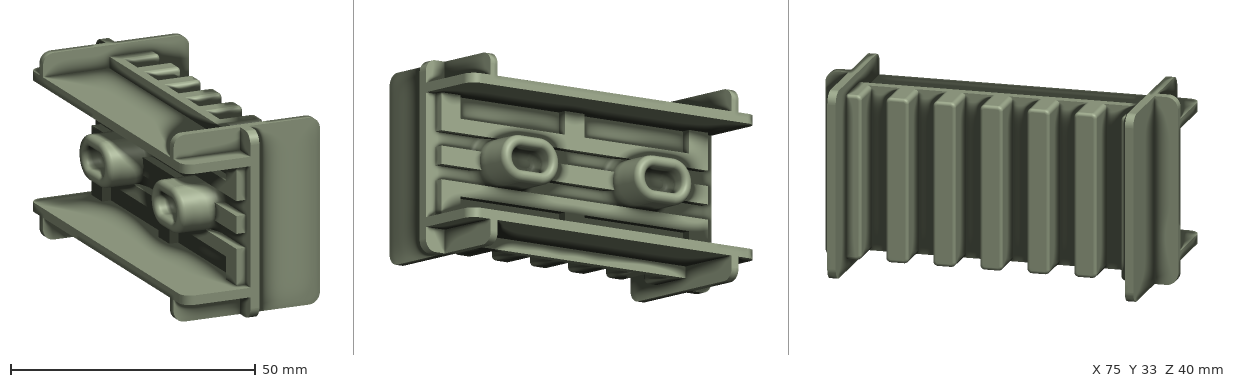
import cadquery as cq

LENGTH = 75.0
DEPTH = 33.0
HEIGHT = 40.0
WALL = 2.0
CORNER = 2.5
INSET = 4.95

PLATE_FRONT = 15.0
PLATE_BACK = PLATE_FRONT + WALL
PLATE_HALF = HEIGHT / 2 - CORNER

END_THICKNESS = 1.8
END_OUTER = LENGTH / 2 - INSET
END_INNER = END_OUTER - END_THICKNESS

SHELF_OUTER = HEIGHT / 2 - INSET
SHELF_INNER = SHELF_OUTER - WALL

RIB_LENGTH = LENGTH - 2 * CORNER
MIDDLE_RIB_HEIGHT = 3.8
COMB_EDGE = 5.1
COMB_BAR = 3.0
COMB_END_LEG = 5.0
COMB_MIDDLE_LEG = 5.2

BOSS_X = 17.5
BOSS_FRONT = 5.0
BOSS_FLAT = 5.0
BOSS_RADIUS = 4.95
BOSS_DRAFT = 0.5
BOSS_FOOT_FILLET = 1.65
RIM_OUTER_FILLET = 1.3
RIM_INNER_FILLET = 1.1
BORE_RADIUS = 2.4
BORE_DEPTH = 5.0
BORE_FLOOR_FILLET = 1.6
SELECT_MARGIN = 0.1

FINGER_COUNT = 7
FINGER_SPAN = 60.0
FINGER_PITCH = FINGER_SPAN / (FINGER_COUNT - 1)
FINGER_WIDTH = 4.8
FINGER_LENGTH = 8.0
FINGER_SIDE_FILLET = 1.0
FINGER_TIP_FILLET = 0.7


def block(x0, x1, y0, y1, z0, z1):
    """Box given by its limits along each axis."""
    return cq.Workplane("XY").box(x1 - x0, y1 - y0, z1 - z0, centered=False).translate((x0, y0, z0))


def back_plate():
    """Rounded plate, lower between the end plates than at its ears."""
    plate = block(-LENGTH / 2, LENGTH / 2, PLATE_FRONT, PLATE_BACK, -HEIGHT / 2, HEIGHT / 2)
    plate = plate.edges("|Y").fillet(CORNER)
    for z0, z1 in ((PLATE_HALF, HEIGHT / 2), (-HEIGHT / 2, -PLATE_HALF)):
        plate = plate.cut(block(-END_INNER, END_INNER, PLATE_FRONT, PLATE_BACK, z0, z1))
    return plate


def end_plates():
    """Upright plates, open between the shelves in front of the back plate."""
    profile = block(END_INNER, END_OUTER, 0, DEPTH, -HEIGHT / 2, HEIGHT / 2).edges("|X").fillet(CORNER)
    plate = profile.cut(block(END_INNER, END_OUTER, 0, PLATE_FRONT, -SHELF_INNER, SHELF_INNER))
    return plate.union(plate.mirror("YZ"))


def shelves():
    """Upper and lower shelf with rounded front corners."""
    shelf = block(-LENGTH / 2, LENGTH / 2, 0, PLATE_BACK, SHELF_INNER, SHELF_OUTER)
    shelf = shelf.edges("|Z and <Y").fillet(CORNER)
    return shelf.union(shelf.mirror("XY"))


def front_ribs():
    """Straight middle rib and a three-legged comb rib reaching to each shelf."""
    y0 = PLATE_FRONT - WALL
    half = RIB_LENGTH / 2
    comb = block(-half, half, y0, PLATE_FRONT, COMB_EDGE, COMB_EDGE + COMB_BAR)
    legs = (
        (-half, -half + COMB_END_LEG),
        (-COMB_MIDDLE_LEG / 2, COMB_MIDDLE_LEG / 2),
        (half - COMB_END_LEG, half),
    )
    for x0, x1 in legs:
        comb = comb.union(block(x0, x1, y0, PLATE_FRONT, COMB_EDGE, SHELF_INNER))
    middle = block(-half, half, y0, PLATE_FRONT, -MIDDLE_RIB_HEIGHT / 2, MIDDLE_RIB_HEIGHT / 2)
    return middle.union(comb).union(comb.mirror("XY"))


def oval(y, radius):
    """Sketch of the boss oval; extruding it runs towards -Y."""
    return cq.Workplane("XZ", origin=(0, y, 0)).slot2D(BOSS_FLAT + 2 * radius, 2 * radius)


def oval_edges(y, radius):
    """Selector for the edges of one oval lying in the plane y."""
    half_x = BOSS_FLAT / 2 + radius + SELECT_MARGIN
    half_z = radius + SELECT_MARGIN
    return cq.selectors.BoxSelector(
        (-half_x, y - SELECT_MARGIN, -half_z),
        (half_x, y + SELECT_MARGIN, half_z),
        boundingbox=True,
    )


def boss():
    """Drafted oval boss on a flared foot; the foot pad is buried in the back plate."""
    foot = oval(PLATE_BACK, BOSS_RADIUS + 2 * BOSS_FOOT_FILLET).extrude(WALL)
    body = foot.union(oval(PLATE_FRONT, BOSS_RADIUS).extrude(PLATE_FRONT - BOSS_FRONT, taper=BOSS_DRAFT))
    body = body.edges(oval_edges(PLATE_FRONT, BOSS_RADIUS)).fillet(BOSS_FOOT_FILLET)
    return body.faces("<Y").edges().fillet(RIM_OUTER_FILLET)


def bore():
    """Blind oval hollow with a rounded floor and a flared mouth."""
    hollow = oval(BOSS_FRONT + BORE_DEPTH, BORE_RADIUS).extrude(BORE_DEPTH)
    hollow = hollow.faces(">Y").edges().fillet(BORE_FLOOR_FILLET)
    mouth = oval(BOSS_FRONT, BORE_RADIUS + 2 * RIM_INNER_FILLET).extrude(WALL)
    hollow = hollow.union(mouth)
    return hollow.edges(oval_edges(BOSS_FRONT, BORE_RADIUS)).fillet(RIM_INNER_FILLET)


def fingers():
    """Row of full-height rounded fingers; the outermost two merge into the end plates."""
    finger = block(
        -FINGER_WIDTH / 2, FINGER_WIDTH / 2,
        PLATE_FRONT, PLATE_BACK + FINGER_LENGTH,
        -PLATE_HALF, PLATE_HALF,
    )
    finger = finger.edges("|Y").fillet(FINGER_SIDE_FILLET).faces(">Y").edges().fillet(FINGER_TIP_FILLET)
    row = cq.Workplane("XY")
    for i in range(FINGER_COUNT):
        row = row.union(finger.translate(((i - (FINGER_COUNT - 1) / 2) * FINGER_PITCH, 0, 0)))
    return row.intersect(block(-END_OUTER, END_OUTER, PLATE_FRONT, DEPTH, -HEIGHT / 2, HEIGHT / 2))


result = back_plate().union(end_plates()).union(shelves()).union(front_ribs()).union(fingers())
for x in (-BOSS_X, BOSS_X):
    result = result.union(boss().translate((x, 0, 0))).cut(bore().translate((x, 0, 0)))